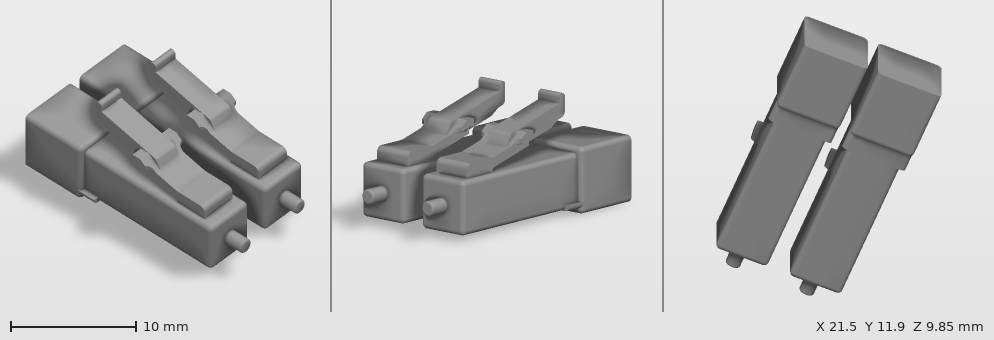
import cadquery as cq
import math

PITCH = 6.39
TOTAL_LENGTH = 21.5

BOOT_SIZE = 5.48
BOOT_LENGTH = 6.0
EDGE_RADIUS = 0.4
AXIS_Z = BOOT_SIZE / 2

BODY_SIZE = 4.5
BODY_END = 19.72
BODY_TOP = AXIS_Z + BODY_SIZE / 2
BODY_BOTTOM = AXIS_Z - BODY_SIZE / 2
FERRULE_DIAMETER = 1.25
FERRULE_TIP_RADIUS = 0.2

TAB_START = BOOT_LENGTH - EDGE_RADIUS
TAB_END = 7.48
TAB_HEIGHT = 0.47

LEVER_WIDTH = 2.3
SPRING_WIDTH = 3.31

LATCH_SLOPE = math.tan(math.radians(14))
LATCH_RADIUS = 0.5
WING_WIDTH = SPRING_WIDTH + 2 * LATCH_RADIUS
FOOT_REAR = 15.5
FOOT_FRONT = 18.5
FOOT_TOP = 6.15
FOOT_RELIEF_RADIUS = 0.3
BEND_X = 15.48
UNDERSIDE_Z = 5.3
LEVER_REAR = 6.21
LEVER_TOP = 9.85
LIP_THICKNESS = 0.62
LEVER_THICKENING_START = 7.85
LEVER_THICKENING_END = 7.05
LEVER_TAIL_Z = 7.95
LEVER_CREST_X = 12.73
LEVER_FRONT_SLOPE = math.tan(math.radians(60))
LEVER_FRONT_FOOT_X = 13.22
LEVER_END = 15.26

WING_REAR = 11.12
WING_FRONT = 12.51
WING_TOP = 7.75
WING_SLOPE_START = 11.93
WING_SLOPE = math.tan(math.radians(39))
WING_BOTTOM_Z = 7.22


def spring_top(x):
    return FOOT_TOP + (BEND_X - x) * LATCH_SLOPE


def spring_underside(x):
    return UNDERSIDE_Z + (FOOT_REAR - x) * LATCH_SLOPE


def side_prism(points, width):
    """Extrude an X-Z outline symmetrically about the connector's centre plane."""
    return cq.Workplane("XZ", origin=(0, width / 2, 0)).polyline(points).close().extrude(width)


def round_corner(prism, corner, radius):
    """Fillet the Y-parallel edge of a side prism that passes through an X-Z corner."""
    x, z = corner
    edge = cq.selectors.NearestToPointSelector((x, 0, z))
    return prism.edges("|Y").edges(edge).fillet(radius)


def square_bar(size, start, end):
    """Square bar along X with rounded long edges and front end."""
    bar = cq.Workplane("YZ", origin=(start, 0, AXIS_Z)).rect(size, size).extrude(end - start)
    return bar.edges("|X or >X").fillet(EDGE_RADIUS)


def make_tabs():
    length = TAB_END - TAB_START
    block = cq.Workplane("XY").box(length, BOOT_SIZE, TAB_HEIGHT, centered=(False, True, False))
    return block.edges("|X and <Z").fillet(EDGE_RADIUS).translate((TAB_START, 0, BODY_BOTTOM))


def make_ferrule():
    ferrule = cq.Workplane("YZ", origin=(BODY_END, 0, AXIS_Z)).circle(FERRULE_DIAMETER / 2)
    return ferrule.extrude(TOTAL_LENGTH - BODY_END).faces(">X").edges().fillet(FERRULE_TIP_RADIUS)


def make_spring(width):
    """Foot, sloping spring and the raised block that carries the wings."""
    drop = WING_TOP - spring_top(WING_SLOPE_START)
    slope_end_x = WING_SLOPE_START + drop / (WING_SLOPE - LATCH_SLOPE)
    slope_end = (slope_end_x, spring_top(slope_end_x))
    bend = (BEND_X, FOOT_TOP)
    foot_front_top = (FOOT_FRONT, FOOT_TOP)
    foot_relief = (FOOT_REAR, UNDERSIDE_Z)
    spring = side_prism([
        (WING_REAR, spring_underside(WING_REAR)),
        (WING_REAR, WING_TOP),
        (WING_SLOPE_START, WING_TOP),
        slope_end,
        bend,
        foot_front_top,
        (FOOT_FRONT, BODY_TOP),
        (FOOT_REAR, BODY_TOP),
        foot_relief,
    ], width)
    for corner in (slope_end, bend, foot_front_top):
        spring = round_corner(spring, corner, LATCH_RADIUS)
    return round_corner(spring, foot_relief, FOOT_RELIEF_RADIUS)


def make_wings():
    """Overhanging wings, blended into the sides of the spring at the front."""
    half_wing = WING_WIDTH / 2
    half_spring = SPRING_WIDTH / 2
    blend_end = WING_FRONT + LATCH_RADIUS
    blend_offset = LATCH_RADIUS * (1 - math.sqrt(0.5))
    plan = (
        cq.Workplane("XY")
        .moveTo(WING_REAR, -half_wing)
        .lineTo(WING_FRONT, -half_wing)
        .threePointArc((WING_FRONT + blend_offset, -half_spring - blend_offset), (blend_end, -half_spring))
        .lineTo(blend_end, half_spring)
        .threePointArc((WING_FRONT + blend_offset, half_spring + blend_offset), (WING_FRONT, half_wing))
        .lineTo(WING_REAR, half_wing)
        .close()
        .extrude(WING_TOP)
    )
    underside_at_end = WING_BOTTOM_Z - (blend_end - WING_REAR) * LATCH_SLOPE
    above_underside = side_prism([
        (WING_REAR, WING_BOTTOM_Z),
        (blend_end, underside_at_end),
        (blend_end, WING_TOP),
        (WING_REAR, WING_TOP),
    ], WING_WIDTH)
    return make_spring(WING_WIDTH).intersect(plan).intersect(above_underside)


def make_lever():
    """Thumb lever: narrow arm with an upright lip at the rear and a steep front face."""
    lip_front = LEVER_REAR + LIP_THICKNESS
    lip_round_z = LEVER_TOP - LIP_THICKNESS / 2
    front_foot_z = spring_top(LEVER_FRONT_FOOT_X)
    crest_z = front_foot_z + (LEVER_FRONT_FOOT_X - LEVER_CREST_X) * LEVER_FRONT_SLOPE
    tail_slope_drop = (LEVER_THICKENING_END - LEVER_REAR) * LATCH_SLOPE
    tail = (LEVER_REAR, LEVER_TAIL_Z)
    crest = (LEVER_CREST_X, crest_z)
    front_foot = (LEVER_FRONT_FOOT_X, front_foot_z)
    lever = side_prism([
        tail,
        (LEVER_REAR, lip_round_z),
        (lip_front, lip_round_z),
        (lip_front, crest_z + (LEVER_CREST_X - lip_front) * LATCH_SLOPE),
        crest,
        front_foot,
        (LEVER_END, spring_top(LEVER_END)),
        (LEVER_END, spring_underside(LEVER_END)),
        (LEVER_THICKENING_START, spring_underside(LEVER_THICKENING_START)),
        (LEVER_THICKENING_END, LEVER_TAIL_Z - tail_slope_drop),
    ], LEVER_WIDTH)
    for corner in (tail, crest, front_foot):
        lever = round_corner(lever, corner, LATCH_RADIUS)
    lip_end = (
        cq.Workplane("XZ", origin=((LEVER_REAR + lip_front) / 2, LEVER_WIDTH / 2, lip_round_z))
        .circle(LIP_THICKNESS / 2)
        .extrude(LEVER_WIDTH)
    )
    return lever.union(lip_end)


def make_connector():
    connector = square_bar(BOOT_SIZE, 0, BOOT_LENGTH)
    connector = connector.union(square_bar(BODY_SIZE, 0, BODY_END))
    for feature in (make_tabs(), make_ferrule(), make_spring(SPRING_WIDTH), make_wings(), make_lever()):
        connector = connector.union(feature)
    return connector


connectors = []
for side in (-1, 1):
    connectors.append(make_connector().translate((0, side * PITCH / 2, 0)).val())

result = cq.Compound.makeCompound(connectors)